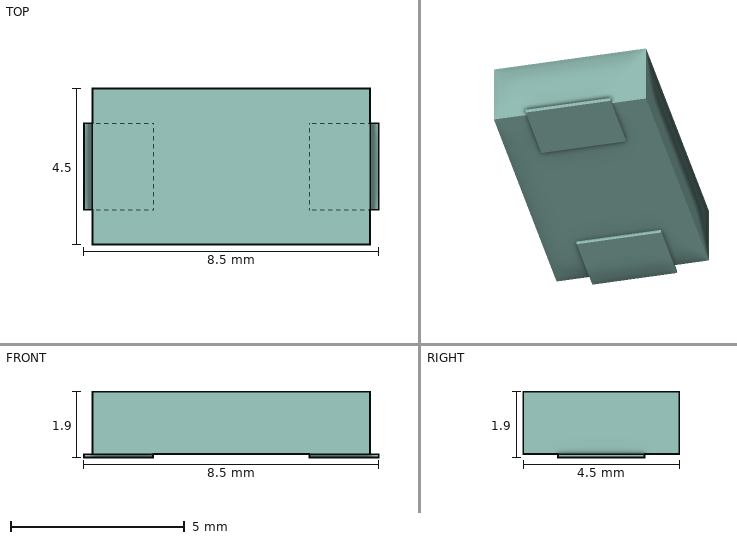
import cadquery as cq

overall_length = 8.5
overall_height = 1.9

body_length = 8.0
body_width = 4.5

terminal_length = 2.0
terminal_width = 2.5
terminal_thickness = 0.1

body_height = overall_height - terminal_thickness
terminal_center_x = (overall_length - terminal_length) / 2


def make_package_body():
    """Rectangular block resting on top of the terminals."""
    return (
        cq.Workplane("XY")
        .workplane(offset=terminal_thickness)
        .rect(body_length, body_width)
        .extrude(body_height)
    )


def make_terminal(side):
    """Thin plate under one end of the body; side is -1 or +1 along X."""
    return (
        cq.Workplane("XY")
        .center(side * terminal_center_x, 0)
        .rect(terminal_length, terminal_width)
        .extrude(terminal_thickness)
    )


package_body = make_package_body()
terminals = [make_terminal(side) for side in (-1, 1)]

result = cq.Compound.makeCompound(
    [package_body.val(), *[terminal.val() for terminal in terminals]]
)